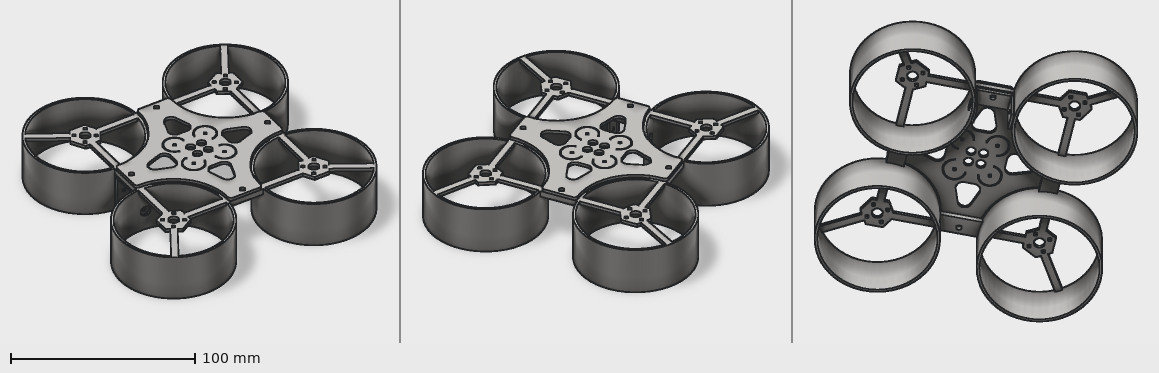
import cadquery as cq
import math

overall_width = 158.3
overall_height = 30.0
plate_thickness = 1.9
duct_outer_diameter = 68.2
duct_inner_diameter = 65.2
frame_top = overall_height - plate_thickness
duct_centre = (overall_width - duct_outer_diameter) / 2
duct_gap = 2 * duct_centre - duct_outer_diameter
duct_mid_radius = (duct_outer_diameter + duct_inner_diameter) / 4

pad_outer_edge = 47.5
pad_width = 10.0
pad_thickness = 3.6
pad_bottom = frame_top - pad_thickness
pad_offset = pad_outer_edge - pad_width / 2
screw_hole = 3.0
screw_offset = 43.7

mount_thickness = 2.0
mount_bottom = frame_top - mount_thickness
arm_width = 4.1
arm_angles = (180, 270, 59)
hub_flat_width = 16.5
motor_shaft_hole = 6.0
motor_screw_hole = 2.0
motor_screw_circle_radius = 6.0
motor_screw_angle = 57

plate_side = 2 * pad_outer_edge
plate_relief_radius = 34.5
plate_corner_radius = 2.0
wire_hole = 5.0
wire_hole_offset = 3.5
damper_offset = 9.8
damper_hole = 1.7
damper_slot_radius = 6.3
damper_slot_width = 0.55
damper_slot_half_angle = 127
window_base = 16.8
window_apex = 40.7
window_base_half_width = 8.4
window_corner_radius = 4.0

bracket_wall = 1.5
bracket_top_thickness = 2.5
bracket_chamfer = 1.0
bracket_bottom = 2.7
bracket_hole = 2.0
duct_access_hole = 6.2
bracket_opening_top = pad_bottom - bracket_top_thickness
side_hole_y = -pad_offset
side_hole_z = (bracket_bottom + bracket_opening_top) / 2

quarter_turns = (0, 90, 180, 270)


def at_height(z):
    """Horizontal workplane at height z."""
    return cq.Workplane("XY").workplane(offset=z)


def turned(body, angle):
    """The body turned about the Z axis."""
    return body.rotate((0, 0, 0), (0, 0, 1), angle)


def square_points(offset):
    """Corners of a square centred on the Z axis."""
    return [(x, y) for x in (-offset, offset) for y in (-offset, offset)]


def vertical_cylinders(points, diameter, z, height):
    return at_height(z).pushPoints(points).circle(diameter / 2).extrude(height)


def screw_holes(z, height):
    """One screw hole near the middle of each side of the cover plate."""
    points = [(screw_offset, 0), (0, screw_offset), (-screw_offset, 0), (0, -screw_offset)]
    return vertical_cylinders(points, screw_hole, z, height)


def side_hole(diameter):
    """Cylinder along X through both bracket walls and the duct walls beside them."""
    length = duct_gap + pad_width
    return (
        cq.Workplane("YZ", origin=(-length / 2, side_hole_y, side_hole_z))
        .circle(diameter / 2)
        .extrude(length)
    )



def make_pad():
    """Pad on the +Y side, ending inside the walls of the two ducts it joins."""
    pad = at_height(pad_bottom).center(0, pad_offset).rect(2 * duct_centre, pad_width).extrude(pad_thickness)
    ducts = vertical_cylinders(square_points(duct_centre), 2 * duct_mid_radius, pad_bottom, pad_thickness)
    return pad.cut(ducts)


def make_motor_mount():
    """Hexagonal hub on three arms, inside the +X +Y duct."""
    hub_corner_diameter = hub_flat_width / math.cos(math.radians(30))
    hub = at_height(mount_bottom).polygon(6, hub_corner_diameter).extrude(mount_thickness)
    mount = turned(hub, 30)
    arm = (
        at_height(mount_bottom)
        .center(duct_mid_radius / 2, 0)
        .rect(duct_mid_radius, arm_width)
        .extrude(mount_thickness)
    )
    for angle in arm_angles:
        mount = mount.union(turned(arm, angle))
    motor_screws = (
        at_height(mount_bottom)
        .polarArray(motor_screw_circle_radius, motor_screw_angle, 360, 4)
        .circle(motor_screw_hole / 2)
        .extrude(mount_thickness)
    )
    shaft = vertical_cylinders([(0, 0)], motor_shaft_hole, mount_bottom, mount_thickness)
    mount = mount.cut(motor_screws).cut(shaft)
    return mount.translate((duct_centre, duct_centre, 0))


def make_frame():
    frame = (
        cq.Workplane("XY")
        .pushPoints(square_points(duct_centre))
        .circle(duct_outer_diameter / 2)
        .circle(duct_inner_diameter / 2)
        .extrude(frame_top)
    )
    pad = make_pad()
    motor_mount = make_motor_mount()
    for angle in quarter_turns:
        frame = frame.union(turned(pad, angle))
        frame = frame.union(turned(motor_mount, angle))
    frame = frame.cut(screw_holes(pad_bottom, pad_thickness))
    return frame.cut(side_hole(duct_access_hole))



def make_window():
    """Rounded triangular opening on the +Y side, pointing outwards."""
    return (
        at_height(frame_top)
        .polyline([
            (-window_base_half_width, window_base),
            (window_base_half_width, window_base),
            (0, window_apex),
        ])
        .close()
        .extrude(plate_thickness)
        .edges("|Z")
        .fillet(window_corner_radius)
    )


def make_damper_slot():
    """Thin C-shaped slot in the +X +Y quarter, open towards the Z axis."""
    outer = damper_slot_radius + damper_slot_width / 2
    inner = damper_slot_radius - damper_slot_width / 2

    def point(radius, degrees_from_diagonal):
        angle = math.radians(45 + degrees_from_diagonal)
        return (damper_offset + radius * math.cos(angle), damper_offset + radius * math.sin(angle))

    return (
        at_height(frame_top)
        .moveTo(*point(outer, -damper_slot_half_angle))
        .threePointArc(point(outer, 0), point(outer, damper_slot_half_angle))
        .lineTo(*point(inner, damper_slot_half_angle))
        .threePointArc(point(inner, 0), point(inner, -damper_slot_half_angle))
        .close()
        .extrude(plate_thickness)
    )


def make_cover_plate():
    """Square plate with a round relief over each duct."""
    reliefs = vertical_cylinders(
        square_points(duct_centre), 2 * plate_relief_radius, frame_top, plate_thickness
    )
    plate = at_height(frame_top).rect(plate_side, plate_side).extrude(plate_thickness).cut(reliefs)
    plate = plate.edges("|Z").fillet(plate_corner_radius)
    plate = plate.cut(screw_holes(frame_top, plate_thickness))
    for offset, diameter in ((wire_hole_offset, wire_hole), (damper_offset, damper_hole)):
        plate = plate.cut(vertical_cylinders(square_points(offset), diameter, frame_top, plate_thickness))
    window = make_window()
    damper_slot = make_damper_slot()
    for angle in quarter_turns:
        plate = plate.cut(turned(window, angle))
        plate = plate.cut(turned(damper_slot, angle))
    return plate



def make_bracket():
    """Upside-down U between the two -Y ducts, chamfered around the front of its opening."""
    half_gap = duct_gap / 2
    half_opening = half_gap - bracket_wall
    rim_margin = bracket_wall / 4
    profile = [
        (-half_gap, bracket_bottom),
        (-half_gap, pad_bottom),
        (half_gap, pad_bottom),
        (half_gap, bracket_bottom),
        (half_opening, bracket_bottom),
        (half_opening, bracket_opening_top),
        (-half_opening, bracket_opening_top),
        (-half_opening, bracket_bottom),
    ]
    bracket = (
        cq.Workplane("XZ", origin=(0, -pad_outer_edge, 0))
        .polyline(profile)
        .close()
        .extrude(-pad_width)
    )
    rim_box = cq.selectors.BoxSelector(
        (-half_opening - rim_margin, -pad_outer_edge - rim_margin, bracket_bottom + rim_margin),
        (half_opening + rim_margin, -pad_outer_edge + rim_margin, bracket_opening_top + rim_margin),
    )
    bracket = bracket.edges(rim_box).chamfer(bracket_chamfer)
    bracket = bracket.cut(screw_holes(bracket_opening_top, bracket_top_thickness))
    return bracket.cut(side_hole(bracket_hole))


frame = make_frame()
cover_plate = make_cover_plate()
bracket = make_bracket()

result = cq.Compound.makeCompound([frame.val(), cover_plate.val(), bracket.val()])